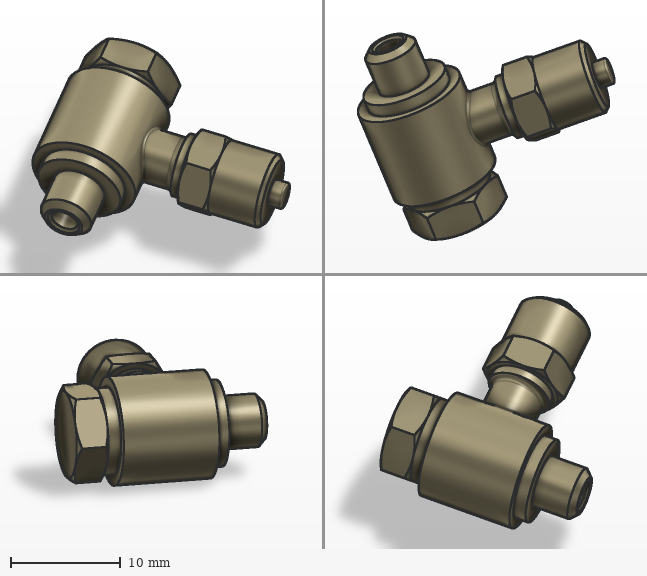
import cadquery as cq
import math


overall_length = 23.0

body_diameter = 10.0
body_radius = body_diameter / 2
body_length = 9.0
collar_radius = 4.0
collar_length = 1.2
head_flats = 8.0
head_length = 3.0
stem_radius = 2.45
stem_length = 4.12
stem_chamfer = 0.65
bore_radius = 1.26
countersink = 0.28

neck_radius = 2.5
neck_root_fillet = 0.3
shoulder_radius = 3.0
shoulder_fillet = 0.5
shoulder_cone_angle = math.radians(60)
neck_end_x = 7.31
nut_start_x = 8.75
nut_length = 2.97
nut_flats = 7.0
sleeve_radius = 3.5
sleeve_end_x = 16.68
sleeve_chamfer = 0.41
tube_radius = 1.25
tube_end_x = overall_length - body_radius
tube_end_fillet = 0.2

hex_bevel_angle = math.radians(30)

body_front_y = -body_length / 2
collar_front_y = body_front_y - collar_length
stem_end_y = collar_front_y - stem_length
head_front_y = body_length / 2 + collar_length


def cylinder_along_y(start, length, radius):
    plane = cq.Plane(origin=(0, start, 0), xDir=(1, 0, 0), normal=(0, 1, 0))
    return cq.Workplane(plane).circle(radius).extrude(length)


def cylinder_along_x(start, end, radius):
    return cq.Workplane("YZ", origin=(start, 0, 0)).circle(radius).extrude(end - start)


def beveled_hexagon(plane, across_flats, length):
    """Hexagonal prism on a plane, corners on its local X axis, both ends turned conical."""
    flat_radius = across_flats / 2
    corner_radius = flat_radius / math.cos(math.pi / 6)
    bevel_radial = corner_radius - flat_radius
    bevel_axial = bevel_radial * math.tan(hex_bevel_angle)
    prism = cq.Workplane(plane).polygon(6, 2 * corner_radius).extrude(length)
    turned_blank = (
        cq.Workplane(plane).circle(corner_radius).extrude(length)
        .edges("%CIRCLE").chamfer(bevel_axial, bevel_radial)
    )
    return prism.intersect(turned_blank)


def bolt_head():
    plane = cq.Plane(origin=(0, head_front_y, 0), xDir=(1, 0, 0), normal=(0, 1, 0))
    return beveled_hexagon(plane, head_flats, head_length)


def bolt_stem():
    stem = cylinder_along_y(stem_end_y, stem_length, stem_radius)
    return stem.faces("<Y").edges().chamfer(stem_chamfer)


def bolt_bore():
    """Blind bore from the stem end to the branch axis, with a 45 degree countersink."""
    depth = -stem_end_y
    mouth_radius = bore_radius + countersink
    profile = (
        cq.Workplane("XY", origin=(0, stem_end_y, 0))
        .lineTo(mouth_radius, 0)
        .lineTo(bore_radius, countersink)
        .lineTo(bore_radius, depth)
        .lineTo(0, depth)
        .close()
    )
    return profile.revolve(360, (0, 0, 0), (0, 1, 0))


def shoulder():
    """Ring next to the nut, flaring from the neck by an arc and then a tangent cone."""
    def flare_point(angle):
        x = neck_end_x + shoulder_fillet * math.sin(angle)
        y = neck_radius + shoulder_fillet * (1 - math.cos(angle))
        return x, y

    arc_end = flare_point(shoulder_cone_angle)
    cone_length = (shoulder_radius - arc_end[1]) / math.tan(shoulder_cone_angle)
    profile = (
        cq.Workplane("XY")
        .moveTo(neck_end_x, 0)
        .lineTo(neck_end_x, neck_radius)
        .threePointArc(flare_point(shoulder_cone_angle / 2), arc_end)
        .lineTo(arc_end[0] + cone_length, shoulder_radius)
        .lineTo(nut_start_x, shoulder_radius)
        .lineTo(nut_start_x, 0)
        .close()
    )
    return profile.revolve(360, (0, 0, 0), (1, 0, 0))


def nut():
    plane = cq.Plane(origin=(nut_start_x, 0, 0), xDir=(0, 1, 0), normal=(1, 0, 0))
    return beveled_hexagon(plane, nut_flats, nut_length)


def sleeve():
    blank = cylinder_along_x(nut_start_x + nut_length, sleeve_end_x, sleeve_radius)
    return blank.faces(">X").edges().chamfer(sleeve_chamfer)


def tube():
    blank = cylinder_along_x(sleeve_end_x, tube_end_x, tube_radius)
    return blank.faces(">X").edges().fillet(tube_end_fillet)


body = cylinder_along_y(body_front_y, body_length, body_radius)
body = body.union(cylinder_along_x(0, neck_end_x, neck_radius))
root_zone = cq.selectors.BoxSelector(
    (0, -neck_radius, -neck_radius),
    (body_radius, neck_radius, neck_radius),
)
body = body.edges(root_zone).edges("not %CIRCLE").edges("not %LINE").fillet(neck_root_fillet)

collars = cylinder_along_y(collar_front_y, body_length + 2 * collar_length, collar_radius)
bolt = collars.union(bolt_head()).union(bolt_stem())

fittings = shoulder().union(nut()).union(sleeve()).union(tube())

result = body.union(bolt).union(fittings).cut(bolt_bore())